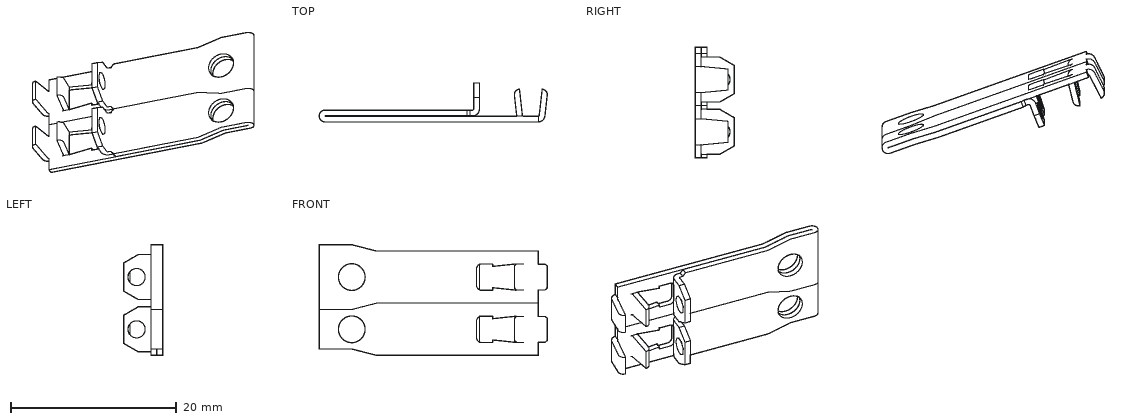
import cadquery as cq
import math

overall_length = 27.57
overall_depth = 4.75
overall_height = 13.4
pitch = 6.3

sheet = 0.72
fold_gap = 0.03
bend_inner = 0.15
bend_outer = bend_inner + sheet
fold_depth = 2 * sheet + fold_gap
fold_radius = fold_depth / 2
gap_radius = fold_gap / 2
rear_face = sheet + fold_gap

neck_start = 3.91
neck_end = 6.92
half_width = pitch / 2
wide_fold_half = overall_height - 1.5 * pitch
narrow_fold_half = pitch - wide_fold_half
front_sheet_end = 26.5

mount_hole_diameter = 3.2
mount_hole_x = 3.95

ear_x = 19.38
ear_half = 2.73
ear_tip_half = 1.7
ear_corner_drop = 1.76
ear_hole_diameter = 2.07
ear_hole_drop = 1.57
ear_bend_x = ear_x - bend_outer
rear_taper_start = 17.85
rear_taper_end = 18.2

tine_half = 1.57
tine_tip_half = 1.27
tine_tip_y = 4.0
tine_tilt = math.radians(6.4)
tine_tip_radius = 0.7
outer_bend_x = 26.45
inner_bend_x = 24.7
tine_mirror_x = (outer_bend_x + inner_bend_x) / 2

window_start = 19.02
window_corner_radius = 0.55
window_step_x = 20.95
window_step = tine_half - tine_tip_half
window_taper_end = 23.8


def prism_along_y(points, start, end):
    """Extrude an XZ outline from Y = start to Y = end."""
    plane = cq.Workplane("XZ", origin=(0, start, 0))
    return plane.polyline(points).close().extrude(start - end)


def prism_along_x(points, start, end):
    """Extrude a YZ outline from X = start to X = end."""
    plane = cq.Workplane("YZ", origin=(start, 0, 0))
    return plane.polyline(points).close().extrude(end - start)


def mirrored_outline(upper_points):
    """Close an outline that is symmetric about its first axis."""
    return upper_points + [(u, -v) for u, v in reversed(upper_points)]


def folded_layers(fold_half):
    """U-shaped double layer, trimmed to the necked outline."""
    section = (
        cq.Workplane("XY", origin=(0, 0, -pitch))
        .moveTo(front_sheet_end, 0)
        .lineTo(fold_radius, 0)
        .threePointArc((0, fold_radius), (fold_radius, fold_depth))
        .lineTo(ear_bend_x, fold_depth)
        .lineTo(ear_bend_x, rear_face)
        .lineTo(fold_radius, rear_face)
        .threePointArc((fold_radius - gap_radius, fold_radius), (fold_radius, sheet))
        .lineTo(front_sheet_end, sheet)
        .close()
        .extrude(2 * pitch)
    )
    outline = mirrored_outline([
        (0, fold_half),
        (neck_start, fold_half),
        (neck_end, half_width),
        (front_sheet_end, half_width),
    ])
    layers = section.intersect(prism_along_y(outline, 0, fold_depth))
    rear_end = mirrored_outline([
        (rear_taper_start, half_width),
        (rear_taper_end, ear_half),
        (ear_bend_x, ear_half),
    ])
    rear_block = mirrored_outline([(rear_taper_start, half_width), (ear_bend_x, half_width)])
    surplus = prism_along_y(rear_block, rear_face, fold_depth)
    return layers.cut(surplus.cut(prism_along_y(rear_end, rear_face, fold_depth)))


def ear():
    """Upright ear with its bend, clipped corners and hole."""
    bend_y = rear_face + bend_outer
    diagonal = math.sqrt(0.5)
    section = (
        cq.Workplane("XY", origin=(0, 0, -ear_half))
        .moveTo(ear_bend_x, rear_face)
        .threePointArc(
            (ear_bend_x + bend_outer * diagonal, bend_y - bend_outer * diagonal), (ear_x, bend_y)
        )
        .lineTo(ear_x, overall_depth)
        .lineTo(ear_x - sheet, overall_depth)
        .lineTo(ear_x - sheet, bend_y)
        .threePointArc(
            (ear_bend_x + bend_inner * diagonal, bend_y - bend_inner * diagonal),
            (ear_bend_x, fold_depth),
        )
        .close()
        .extrude(2 * ear_half)
    )
    outline = mirrored_outline([
        (rear_face, ear_half),
        (overall_depth - ear_corner_drop, ear_half),
        (overall_depth, ear_tip_half),
    ])
    hole = (
        cq.Workplane("YZ", origin=(ear_bend_x, 0, 0))
        .center(overall_depth - ear_hole_drop, 0)
        .circle(ear_hole_diameter / 2)
        .extrude(bend_outer)
    )
    return section.intersect(prism_along_x(outline, ear_bend_x, ear_x)).cut(hole)


def bend_point(radius, angle):
    """Point on the outer tine's bend, the angle measured from the front face."""
    return (outer_bend_x + radius * math.sin(angle), bend_outer - radius * math.cos(angle))


def outer_tine():
    """Tine bent up from the end of the front layer, leaning outwards and tapering to its tip."""
    turn = math.pi / 2 - tine_tilt
    outer_base = bend_point(bend_outer, turn)
    inner_base = bend_point(bend_inner, turn)
    length = (tine_tip_y - inner_base[1]) / math.cos(tine_tilt)
    rise = (length * math.sin(tine_tilt), length * math.cos(tine_tilt))
    outer_tip = (outer_base[0] + rise[0], outer_base[1] + rise[1])
    inner_tip = (inner_base[0] + rise[0], inner_base[1] + rise[1])
    section = (
        cq.Workplane("XY", origin=(0, 0, -tine_half))
        .moveTo(outer_bend_x, 0)
        .threePointArc(bend_point(bend_outer, turn / 2), outer_base)
        .lineTo(*outer_tip)
        .lineTo(*inner_tip)
        .lineTo(*inner_base)
        .threePointArc(bend_point(bend_inner, turn / 2), (outer_bend_x, sheet))
        .close()
        .extrude(2 * tine_half)
    )
    tip_edge = cq.selectors.NearestToPointSelector((*outer_tip, 0))
    section = section.edges("|Z").edges(tip_edge).fillet(tine_tip_radius)
    outline = mirrored_outline([(0, tine_half), (bend_outer, tine_half), (tine_tip_y, tine_tip_half)])
    return section.intersect(prism_along_x(outline, outer_bend_x, overall_length + sheet))


def window():
    """Opening in the front layer, narrowed where the inner tine's tapered blank was."""
    outline = mirrored_outline([
        (window_start, tine_half),
        (window_step_x, tine_half),
        (window_step_x, tine_half - window_step),
        (window_taper_end, tine_half),
        (inner_bend_x, tine_half),
    ])
    return prism_along_y(outline, 0, sheet).edges("|Y and <X").fillet(window_corner_radius)


def tine_root_notch():
    """Clearance in the front layer's end where the outer tine's bend begins."""
    outline = mirrored_outline([(outer_bend_x, tine_half), (front_sheet_end, tine_half)])
    return prism_along_y(outline, 0, sheet)


def mount_hole():
    """Round hole through both layers."""
    return (
        cq.Workplane("XZ")
        .center(mount_hole_x, 0)
        .circle(mount_hole_diameter / 2)
        .extrude(-fold_depth)
    )


def contact(fold_half):
    """One complete contact, centred on Z = 0."""
    tine = outer_tine()
    inner_tine = tine.mirror("YZ", (tine_mirror_x, 0, 0))
    layers = folded_layers(fold_half).cut(window()).cut(tine_root_notch()).cut(mount_hole())
    return layers.union(ear()).union(tine).union(inner_tine)


upper_contact = contact(wide_fold_half).translate((0, 0, pitch / 2))
lower_contact = contact(narrow_fold_half).translate((0, 0, -pitch / 2))

result = cq.Compound.makeCompound([*upper_contact.solids().vals(), *lower_contact.solids().vals()])